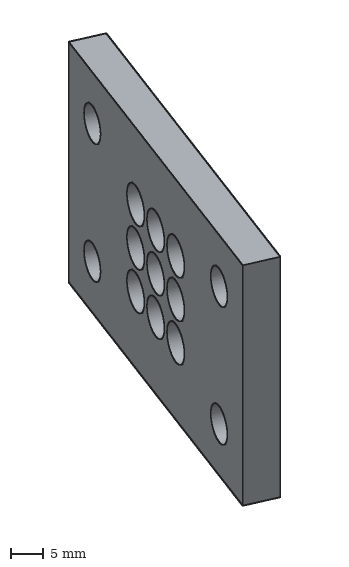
import cadquery as cq

length = 69.85
thickness = 6.35
height = 44.4

mount_diameter = 6.65
mount_spacing_x = 50.85
mount_spacing_z = mount_spacing_x / 2

grid_diameter = 7.0
grid_pitch = 8.0
grid_count = 3

plate = cq.Workplane("XZ").box(length, height, thickness)


def drill_grid(body, spacing_x, spacing_z, count, diameter):
    """Drill a centred count x count array of through holes along Y."""
    return (
        body.faces("<Y")
        .workplane(centerOption="CenterOfBoundBox")
        .rarray(spacing_x, spacing_z, count, count)
        .hole(diameter)
    )


with_mounts = drill_grid(plate, mount_spacing_x, mount_spacing_z, 2, mount_diameter)
result = drill_grid(with_mounts, grid_pitch, grid_pitch, grid_count, grid_diameter)